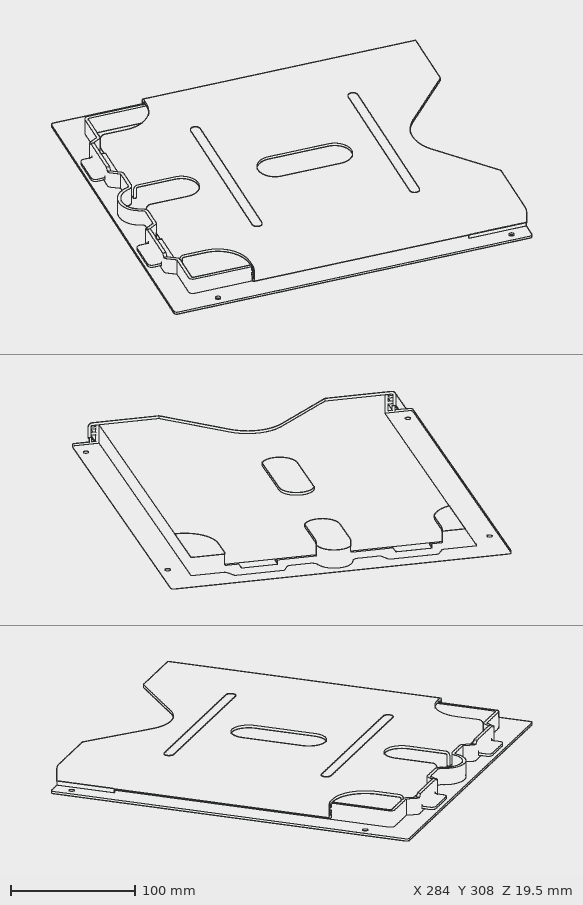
import cadquery as cq
import math

WIDTH = 284.0
LENGTH = 308.0
BACK_Y = LENGTH / 2
SHEET = 2.0
COVER_SHEET = 2.5
HEIGHT = 19.5
RIB_HEIGHT = 0.85
COVER_TOP = HEIGHT - RIB_HEIGHT
COVER_UNDER = COVER_TOP - COVER_SHEET
OVERSHOOT = 6.2

WALL = 2.8
WALL_TOP = 16.0
WALL_X = 122.0
WALL_Y = -133.5
WALL_BEND = 3.7
LOOP_RADIUS = 18.0
LOOP_CENTRE_Y = -131.0
LOOP_BLEND = 2.8
LOOP_HALF = math.sqrt(LOOP_RADIUS**2 - (WALL_Y - LOOP_CENTRE_Y) ** 2)

LATCH_X = 64.5
LATCH_BASE = 54.8
LATCH_FACE = 44.5
LATCH_Y = -142.0
LATCH_BEND = 3.0
LATCH_CREST_FOOT = 40.7
LATCH_CREST_TOP = 35.7
TONGUE_WIDTH = 30.2
TONGUE_END_Y = -152.8
TONGUE_BOTTOM = 4.5
TONGUE_CORNER = 3.7
TONGUE_ROOT = 1.5
TONGUE_TOP = TONGUE_BOTTOM + SHEET

FLANGE_CORNER = 2.5
SCREW_DIA = 4.3
SCREW_X = 134.3
SCREW_YS = (138.5, -114.0)

COVER_X = 128.5
COVER_BEND = 3.7
SKIRT_FRONT_Y = -80.5
SKIRT_BOTTOM = 6.0
SKIRT_INNER_X = COVER_X - COVER_SHEET
LIP_Y = WALL_Y + WALL
CORNER_CUT_RADIUS = 27.7
COVER_FRONT_X = 90.5
SLOT_WIDTH = 29.0
MIDDLE_SLOT_Y = (-29.0, 51.5)
FRONT_SLOT_TOP = SKIRT_FRONT_Y
NOTCH_HALF = 69.3
NOTCH_POINT_DEPTH = 60.7
NOTCH_RADIUS = 32.5
RIB_LENGTH = 149.0
RIB_WIDTH = 8.3
RIB_YS = (79.2, -56.5)

HOOK_INNER_X = WALL_X + 0.5
HOOK_SLOPE_X = 125.0
HOOK_BOTTOM = 3.7
HOOK_TOP = 6.5
STOP_Y = 104.7
STOP_WIDTH = 2.2
STOP_OUTER_X = 127.5
RAIL_REACH = SKIRT_INNER_X - WALL_X
RAIL_HEIGHTS = ((7.7, 10.2), (13.0, 14.8))


def box(x_range, y_range, z_range):
    """Box given by its lower and upper limits along each axis."""
    size = [high - low for low, high in (x_range, y_range, z_range)]
    corner = (x_range[0], y_range[0], z_range[0])
    return cq.Workplane("XY").box(*size, centered=False).translate(corner)


def both_sides(body):
    """The body together with its mirror image at -X."""
    return body.union(body.mirror("YZ"))


def bent_outline():
    """Outer outline of the wall; it runs past the open back of the frame."""
    half_base = LATCH_BASE / 2
    half_face = LATCH_FACE / 2
    right = [
        (LATCH_X - half_base, WALL_Y),
        (LATCH_X - half_face, LATCH_Y),
        (LATCH_X + half_face, LATCH_Y),
        (LATCH_X + half_base, WALL_Y),
        (WALL_X, WALL_Y),
        (WALL_X, BACK_Y + OVERSHOOT),
    ]
    left = [(-x, y) for x, y in reversed(right)]
    outline = cq.Workplane("XY").moveTo(-LOOP_HALF, WALL_Y)
    outline = outline.threePointArc((0, LOOP_CENTRE_Y - LOOP_RADIUS), (LOOP_HALF, WALL_Y))
    for point in right + left:
        outline = outline.lineTo(*point)
    return outline.close()


def round_corners(prism, corners, radius):
    """Fillet the upright edges that stand at the given corners."""
    for x, y in corners:
        edge = cq.selectors.NearestToPointSelector((x, y, WALL_TOP / 2))
        prism = prism.edges("|Z").edges(edge).fillet(radius)
    return prism


def wall_prism():
    """Solid block inside the wall's outer outline, up to the wall top."""
    prism = bent_outline().extrude(WALL_TOP)
    latch_ends = [
        (side * (LATCH_X + end * LATCH_FACE / 2), LATCH_Y) for side in (-1, 1) for end in (-1, 1)
    ]
    front_corners = [(-WALL_X, WALL_Y), (WALL_X, WALL_Y)]
    loop_ends = [(-LOOP_HALF, WALL_Y), (LOOP_HALF, WALL_Y)]
    prism = round_corners(prism, loop_ends, LOOP_BLEND)
    prism = round_corners(prism, latch_ends, LATCH_BEND)
    return round_corners(prism, front_corners, WALL_BEND)


def inner_opening(outer):
    """Open space inside the wall, through the whole height."""
    inner_wires = outer.faces("<Z").val().outerWire().offset2D(-WALL)
    return cq.Workplane("XY").newObject(inner_wires).toPending().extrude(WALL_TOP)


def latch_crest():
    """Raised crest with sloping ends along the outer face of one latch."""
    return (
        cq.Workplane("XZ", origin=(LATCH_X, LATCH_Y + WALL, 0))
        .moveTo(-LATCH_CREST_FOOT / 2, WALL_TOP)
        .lineTo(-LATCH_CREST_TOP / 2, COVER_TOP)
        .lineTo(LATCH_CREST_TOP / 2, COVER_TOP)
        .lineTo(LATCH_CREST_FOOT / 2, WALL_TOP)
        .close()
        .extrude(WALL)
    )


def release_tongue():
    """Tongue on the outside of one latch, with a fillet at its root."""
    x_range = (LATCH_X - TONGUE_WIDTH / 2, LATCH_X + TONGUE_WIDTH / 2)
    tongue = box(x_range, (TONGUE_END_Y, LATCH_Y), (TONGUE_BOTTOM, TONGUE_TOP))
    tongue = tongue.edges("|Z and <Y").fillet(TONGUE_CORNER)
    root = (
        cq.Workplane("YZ", origin=(x_range[0], 0, 0))
        .moveTo(LATCH_Y, TONGUE_TOP)
        .lineTo(LATCH_Y - TONGUE_ROOT, TONGUE_TOP)
        .radiusArc((LATCH_Y, TONGUE_TOP + TONGUE_ROOT), -TONGUE_ROOT)
        .close()
        .extrude(TONGUE_WIDTH)
    )
    return tongue.union(root)


def side_rails():
    """Guide rails on the outside of one side wall."""
    rails = cq.Workplane("XY")
    for heights in RAIL_HEIGHTS:
        rails = rails.union(box((WALL_X, WALL_X + RAIL_REACH), (SKIRT_FRONT_Y, BACK_Y), heights))
    return rails


def stop_strip():
    """Strip on the flange that stops the sliding hook of one skirt."""
    return box((STOP_OUTER_X - STOP_WIDTH, STOP_OUTER_X), (STOP_Y, BACK_Y), (SHEET, SKIRT_BOTTOM))


def make_frame():
    """U-shaped frame: flat flange, upright wall, latches and rails."""
    flange = cq.Workplane("XY").box(WIDTH, LENGTH, SHEET, centered=(True, True, False))
    flange = flange.edges("|Z").fillet(FLANGE_CORNER)
    screws = [(side * SCREW_X, y) for side in (-1, 1) for y in SCREW_YS]
    flange = flange.faces(">Z").workplane(origin=(0, 0, SHEET)).pushPoints(screws).hole(SCREW_DIA)

    outer = wall_prism()
    behind = box((-WIDTH, WIDTH), (BACK_Y, BACK_Y + 2 * OVERSHOOT), (0, WALL_TOP))
    frame = flange.union(outer.cut(behind)).cut(inner_opening(outer))
    for feature in (latch_crest(), release_tongue(), side_rails(), stop_strip()):
        frame = frame.union(both_sides(feature))
    return frame


def cover_shell():
    """Bent sheet: top, two side skirts and the front lip."""
    block = box((-COVER_X, COVER_X), (LIP_Y, BACK_Y), (SKIRT_BOTTOM, COVER_TOP))
    block = block.faces(">Z").edges("|Y or <Y").fillet(COVER_BEND)
    hollow = box(
        (-SKIRT_INNER_X, SKIRT_INNER_X),
        (LIP_Y + COVER_SHEET, BACK_Y + OVERSHOOT),
        (0, COVER_UNDER),
    )
    hollow = hollow.faces(">Z").edges("|Y or <Y").fillet(COVER_BEND - COVER_SHEET)
    return block.cut(hollow)


def corner_cut():
    """Opening at one front corner of the cover, with a rounded inner corner."""
    return (
        cq.Workplane("XY")
        .moveTo(COVER_FRONT_X, LIP_Y - OVERSHOOT)
        .lineTo(COVER_FRONT_X, SKIRT_FRONT_Y - CORNER_CUT_RADIUS)
        .radiusArc((COVER_FRONT_X + CORNER_CUT_RADIUS, SKIRT_FRONT_Y), CORNER_CUT_RADIUS)
        .lineTo(COVER_X + OVERSHOOT, SKIRT_FRONT_Y)
        .lineTo(COVER_X + OVERSHOOT, LIP_Y - OVERSHOOT)
        .close()
        .extrude(COVER_TOP)
    )


def finger_slot(y_low, y_high):
    """Round-ended slot along Y."""
    return (
        cq.Workplane("XY")
        .center(0, (y_low + y_high) / 2)
        .slot2D(y_high - y_low, SLOT_WIDTH, 90)
        .extrude(COVER_TOP)
    )


def back_notch():
    """V-shaped notch with a rounded bottom in the back edge."""
    return (
        cq.Workplane("XY")
        .moveTo(-NOTCH_HALF, BACK_Y)
        .lineTo(0, BACK_Y - NOTCH_POINT_DEPTH)
        .lineTo(NOTCH_HALF, BACK_Y)
        .close()
        .extrude(COVER_TOP)
        .edges("|Z and <Y")
        .fillet(NOTCH_RADIUS)
    )


def skirt_hook():
    """Hook under one side rail, sloping inward at the bottom of the skirt."""
    return (
        cq.Workplane("XZ", origin=(0, STOP_Y, 0))
        .moveTo(COVER_X, SKIRT_BOTTOM)
        .lineTo(HOOK_SLOPE_X, HOOK_BOTTOM)
        .lineTo(HOOK_INNER_X, HOOK_BOTTOM)
        .lineTo(HOOK_INNER_X, HOOK_TOP)
        .lineTo(COVER_X, HOOK_TOP)
        .close()
        .extrude(STOP_Y - SKIRT_FRONT_Y)
    )


def latch_tab():
    """Tab at the bottom of the front lip that reaches the inside of one latch."""
    half = TONGUE_WIDTH / 2
    y_range = (LATCH_Y + WALL, LIP_Y + COVER_SHEET)
    return box((LATCH_X - half, LATCH_X + half), y_range, (SKIRT_BOTTOM, SKIRT_BOTTOM + COVER_SHEET))


def stiffening_rib(y):
    """Low raised rib with round ends and softened upper edges."""
    rib = cq.Workplane("XY", origin=(0, y, COVER_TOP)).slot2D(RIB_LENGTH, RIB_WIDTH)
    return rib.extrude(RIB_HEIGHT).faces(">Z").chamfer(RIB_HEIGHT / 2, RIB_WIDTH / 4)


def make_cover():
    """Sliding cover with its openings, ribs, hooks and latch tabs."""
    cover = cover_shell()
    cover = cover.cut(both_sides(corner_cut()))
    cover = cover.cut(finger_slot(*MIDDLE_SLOT_Y))
    cover = cover.cut(finger_slot(LIP_Y - SLOT_WIDTH, FRONT_SLOT_TOP))
    cover = cover.cut(back_notch())
    for y in RIB_YS:
        cover = cover.union(stiffening_rib(y))
    for feature in (skirt_hook(), latch_tab()):
        cover = cover.union(both_sides(feature))
    return cover


frame = make_frame()
cover = make_cover()
result = cq.Compound.makeCompound([frame.val(), cover.val()])